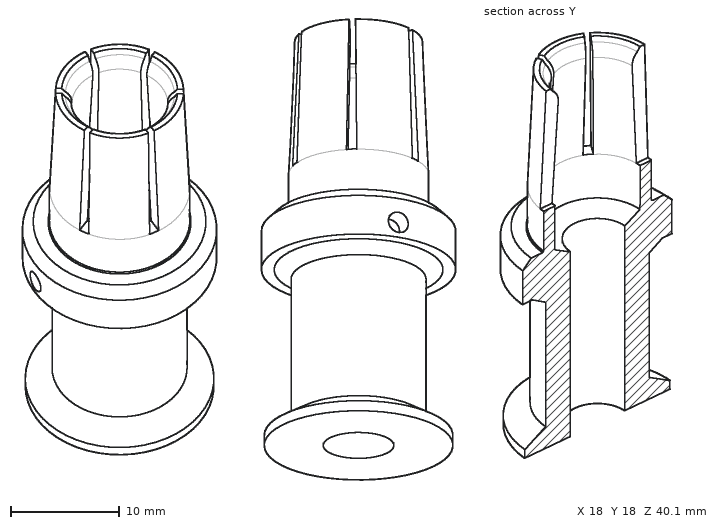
import cadquery as cq
import math

foot_top = 1.0
foot_cone_top = 2.5
collar_cone_bottom = 16.52
collar_bottom = 17.5
collar_top = 22.35
collar_chamfer = 1.0
step_height = 0.12
taper_bottom = 26.95
total_height = 40.1

collar_diameter = 18.0
foot_radius = 8.75
tube_radius = 6.25
collar_cone_radius = 7.8
collar_radius = collar_diameter / 2
step_radius = 6.6
sleeve_radius = 6.5
tip_radius = 5.95

bore_diameter = 6.55
mouth_radius = 5.37
mouth_chamfer_radius = 5.05
mouth_chamfer_depth = 0.45
lip_radius = 4.45
lip_height = 1.32
flared_radius = 5.1
funnel_top = 21.97
funnel_height = 1.05
bore_radius = bore_diameter / 2

slot_count = 6
slot_top_width = 0.6
slot_bottom_width = 0.95

hole_radius = 1.0
hole_depth = 2.0
hole_height = 18.95


def make_body():
    """Revolve the half section, leaving the bore open from end to end."""
    chamfer_bottom = total_height - mouth_chamfer_depth
    lip_bottom = chamfer_bottom - lip_height

    lip_width = mouth_chamfer_radius - lip_radius
    arc_radius = (lip_height**2 + lip_width**2) / (2 * lip_width)
    half_angle = math.asin(lip_height / arc_radius) / 2
    lip_middle = (
        lip_radius + arc_radius * (1 - math.cos(half_angle)),
        lip_bottom + arc_radius * math.sin(half_angle),
    )

    section = (
        cq.Workplane("XZ")
        .moveTo(bore_radius, 0)
        .lineTo(foot_radius, 0)
        .lineTo(foot_radius, foot_top)
        .lineTo(tube_radius, foot_cone_top)
        .lineTo(tube_radius, collar_cone_bottom)
        .lineTo(collar_cone_radius, collar_bottom)
        .lineTo(collar_radius, collar_bottom)
        .lineTo(collar_radius, collar_top - collar_chamfer)
        .lineTo(collar_radius - collar_chamfer, collar_top)
        .lineTo(step_radius, collar_top)
        .lineTo(sleeve_radius, collar_top + step_height)
        .lineTo(sleeve_radius, taper_bottom)
        .lineTo(tip_radius, total_height)
        .lineTo(mouth_radius, total_height)
        .lineTo(mouth_chamfer_radius, chamfer_bottom)
        .threePointArc(lip_middle, (lip_radius, lip_bottom))
        .lineTo(flared_radius, taper_bottom)
        .lineTo(flared_radius, funnel_top)
        .lineTo(bore_radius, funnel_top - funnel_height)
        .close()
    )
    return section.revolve(360, (0, 0, 0), (0, 1, 0))


def make_slot(angle):
    """Radial slot cutter that narrows towards the tip."""
    return (
        cq.Workplane("YZ")
        .moveTo(-slot_bottom_width / 2, taper_bottom)
        .lineTo(slot_bottom_width / 2, taper_bottom)
        .lineTo(slot_top_width / 2, total_height)
        .lineTo(-slot_top_width / 2, total_height)
        .close()
        .extrude(collar_radius)
        .rotate((0, 0, 0), (0, 0, 1), angle)
    )


def make_collar_hole():
    """Cylinder reaching into the collar from the -Y side."""
    return (
        cq.Workplane("XZ", origin=(0, hole_depth - collar_radius, 0))
        .center(0, hole_height)
        .circle(hole_radius)
        .extrude(2 * hole_depth)
    )


result = make_body()
for index in range(slot_count):
    result = result.cut(make_slot(index * 360 / slot_count))
result = result.cut(make_collar_hole())